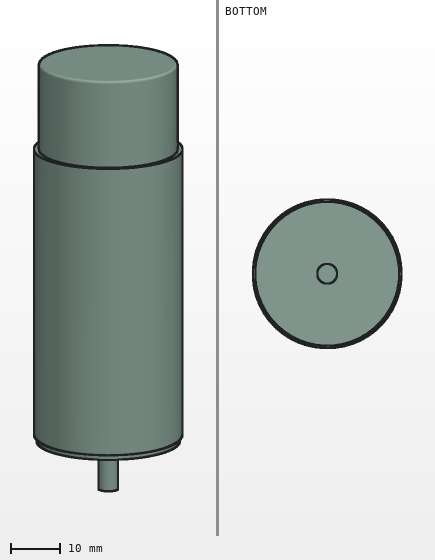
import cadquery as cq

total_length = 89.0
shaft_diameter = 4.0
shaft_length = 10.1
body_diameter = 30.0
flange_diameter = 29.0
flange_thickness = 1.0
cap_diameter = 28.0
cap_length = 18.0
cap_edge_fillet = 0.5
body_edge_fillet = 0.45

flange_bottom = shaft_length
body_bottom = flange_bottom + flange_thickness
cap_bottom = total_length - cap_length


def cylinder(diameter, bottom, top):
    """Round section centred on the Z axis between two heights."""
    return cq.Workplane("XY").workplane(offset=bottom).circle(diameter / 2).extrude(top - bottom)


shaft = cylinder(shaft_diameter, 0, flange_bottom)
flange = cylinder(flange_diameter, flange_bottom, body_bottom)

body = cylinder(body_diameter, body_bottom, cap_bottom)
body = body.faces("<Z").edges().fillet(body_edge_fillet)

cap = cylinder(cap_diameter, cap_bottom, total_length)
cap = cap.faces(">Z").edges().fillet(cap_edge_fillet)

result = shaft.union(flange).union(body).union(cap)